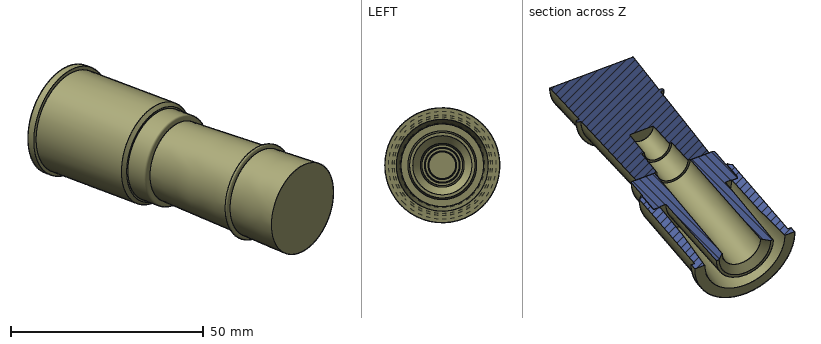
import cadquery as cq

OVERALL_LENGTH = 81.0

FLANGE_DIA = 30.0
FLANGE_LENGTH = 2.0
SLEEVE_DIA = 28.0
SLEEVE_END_X = 32.1
SLEEVE_CHAMFER = 1.0
SOCKET_MOUTH_DIA = 23.9
SOCKET_THROAT_DIA = 22.0
SOCKET_FLOOR_DIA = 21.5
SOCKET_THROAT_X = 13.0
SOCKET_FLOOR_X = 25.9

COLLAR_DIA = 25.1
COLLAR_END_X = 38.3
COLLAR_FILLET = 0.6
NOZZLE_TIP_DIA = 17.0
NOZZLE_ROOT_DIA = 17.9
NOZZLE_MOUTH_DIA = 15.4
NOZZLE_MOUTH_DEPTH = 1.9
NOZZLE_BORE_FRONT_DIA = 11.4
NOZZLE_BORE_REAR_DIA = 10.6

TAIL_FRONT_DIA = 22.0
TAIL_REAR_DIA = 25.0
BEAD_X = 65.9
BEAD_RADIUS = 0.53
BEAD_OUTER_DIA = 26.2
WIDE_BORE_FRONT_DIA = 9.3
WIDE_BORE_REAR_DIA = 8.8
WIDE_BORE_DEPTH = 8.1
NARROW_BORE_FRONT_DIA = 7.45
NARROW_BORE_REAR_DIA = 7.0
NARROW_BORE_DEPTH = 8.1


def turned(points):
    """Revolve a closed (x, radius) outline about the X axis."""
    return cq.Workplane("XY").polyline(points).close().revolve(360, (0, 0, 0), (1, 0, 0))


def make_sleeve():
    """Flanged sleeve with a tapered socket and a rear bore that fits the collar."""
    return turned([
        (0, SOCKET_MOUTH_DIA / 2),
        (0, FLANGE_DIA / 2),
        (FLANGE_LENGTH, FLANGE_DIA / 2),
        (FLANGE_LENGTH, SLEEVE_DIA / 2),
        (SLEEVE_END_X - SLEEVE_CHAMFER, SLEEVE_DIA / 2),
        (SLEEVE_END_X, SLEEVE_DIA / 2 - SLEEVE_CHAMFER),
        (SLEEVE_END_X, COLLAR_DIA / 2),
        (SOCKET_FLOOR_X, COLLAR_DIA / 2),
        (SOCKET_FLOOR_X, SOCKET_FLOOR_DIA / 2),
        (SOCKET_THROAT_X, SOCKET_THROAT_DIA / 2),
    ])


def make_core():
    """Tapered nozzle and collar with one tapered bore through both."""
    core = turned([
        (0, NOZZLE_MOUTH_DIA / 2),
        (0, NOZZLE_TIP_DIA / 2),
        (SOCKET_FLOOR_X, NOZZLE_ROOT_DIA / 2),
        (SOCKET_FLOOR_X, COLLAR_DIA / 2),
        (COLLAR_END_X, COLLAR_DIA / 2),
        (COLLAR_END_X, NOZZLE_BORE_REAR_DIA / 2),
        (NOZZLE_MOUTH_DEPTH, NOZZLE_BORE_FRONT_DIA / 2),
    ])
    collar_rim = core.faces(">X").edges(cq.selectors.RadiusNthSelector(-1))
    return collar_rim.fillet(COLLAR_FILLET)


def make_tail():
    """Flared stem with its bead and stepped blind bore."""
    wide_bore_end_x = COLLAR_END_X + WIDE_BORE_DEPTH
    narrow_bore_end_x = wide_bore_end_x + NARROW_BORE_DEPTH
    stem = turned([
        (COLLAR_END_X, WIDE_BORE_FRONT_DIA / 2),
        (COLLAR_END_X, TAIL_FRONT_DIA / 2),
        (OVERALL_LENGTH, TAIL_REAR_DIA / 2),
        (OVERALL_LENGTH, 0),
        (narrow_bore_end_x, 0),
        (narrow_bore_end_x, NARROW_BORE_REAR_DIA / 2),
        (wide_bore_end_x, NARROW_BORE_FRONT_DIA / 2),
        (wide_bore_end_x, WIDE_BORE_REAR_DIA / 2),
    ])

    crest_centre = BEAD_OUTER_DIA / 2 - BEAD_RADIUS
    bead_root = TAIL_FRONT_DIA / 2
    bead = (
        cq.Workplane("XY")
        .moveTo(BEAD_X - BEAD_RADIUS, bead_root)
        .lineTo(BEAD_X - BEAD_RADIUS, crest_centre)
        .threePointArc((BEAD_X, BEAD_OUTER_DIA / 2), (BEAD_X + BEAD_RADIUS, crest_centre))
        .lineTo(BEAD_X + BEAD_RADIUS, bead_root)
        .close()
        .revolve(360, (0, 0, 0), (1, 0, 0))
    )
    return stem.union(bead)


sleeve = make_sleeve()
core = make_core()
tail = make_tail()

result = cq.Compound.makeCompound([
    *sleeve.solids().vals(),
    *core.solids().vals(),
    *tail.solids().vals(),
])